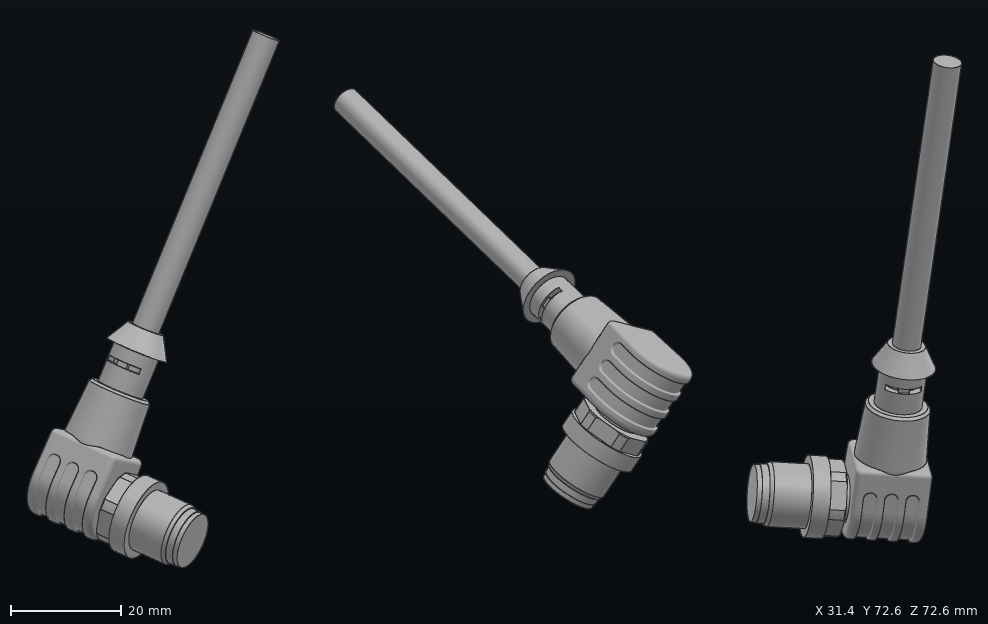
import cadquery as cq
import math

cable_tilt = -45.0

housing_length = 14.15
housing_radius = 7.25
housing_top = 9.15
side_taper = math.radians(4.0)
housing_fillet = 1.1

groove_count = 3
groove_pitch = 3.9
groove_width = 2.5
groove_depth = 0.4
groove_top = 4.7
groove_edge_fillet = 0.18

sleeve_base_radius = 6.6
sleeve_root = 5.8
sleeve_end_radius = 5.95
sleeve_top = 19.75
sleeve_chamfer = 0.5
neck_radius = 4.39
flange_bottom = 27.6
flange_top = 31.8
flange_wide_radius = 5.9
flange_narrow_radius = 3.5
slot_bottom = 23.9
slot_height = 1.0
slot_width = 6.7
slot_floor_radius = 3.05
slot_rib_width = 2.0
slot_rib_span = 7.7
cable_radius = 2.6
cable_end = 89.45

hex_start = 15.1
collar_start = 18.2
collar_end = 21.5
barrel_end = 28.4
barrel_taper_end = 29.1
nose_end = 30.5
tip_end = 31.4
shaft_radius = 4.35
hex_flat_distance = 6.5
hex_corner_radius = 7.05
hex_chamfer = 0.2
hex_turn = -15.0
collar_radius = 15.0 / 2
barrel_radius = 11.8 / 2
barrel_taper_radius = 5.6
nose_radius = 10.8 / 2
tip_radius = 10.5 / 2

outer_end_x = -housing_length / 2


def housing_block(inset):
    """Tapered block with a round bottom; its round and tapered faces are moved inwards by the inset."""
    radius = housing_radius - inset
    tangent_y = radius * math.cos(side_taper)
    tangent_z = radius * math.sin(side_taper)
    top_y = tangent_y - (housing_top - tangent_z) * math.tan(side_taper)
    return (
        cq.Workplane("YZ", origin=(outer_end_x, 0, 0))
        .moveTo(-tangent_y, tangent_z)
        .threePointArc((0, -radius), (tangent_y, tangent_z))
        .lineTo(top_y, housing_top)
        .lineTo(-top_y, housing_top)
        .close()
        .extrude(housing_length)
    )


def grip_groove(center_x):
    """Band that removes the housing skin below a half-round end on either side."""
    reach = 2 * housing_radius
    end_center = groove_top - groove_width / 2
    band = (
        cq.Workplane("XZ", origin=(center_x, reach, 0))
        .moveTo(-groove_width / 2, -reach)
        .lineTo(-groove_width / 2, end_center)
        .threePointArc((0, groove_top), (groove_width / 2, end_center))
        .lineTo(groove_width / 2, -reach)
        .close()
        .extrude(2 * reach)
    )
    return band.cut(housing_block(groove_depth))


def housing():
    block = housing_block(0)
    block = block.edges("|X and >Z").fillet(housing_fillet)
    block = block.faces("<X or >X").edges().fillet(housing_fillet)
    for index in range(groove_count):
        center_x = (index - (groove_count - 1) / 2) * groove_pitch
        block = block.cut(grip_groove(center_x))
        around_groove = cq.selectors.BoxSelector(
            (center_x - groove_pitch / 2, -2 * housing_radius, -2 * housing_radius),
            (center_x + groove_pitch / 2, 2 * housing_radius, groove_top + groove_edge_fillet),
        )
        groove_edges = block.edges(around_groove).edges("not |X")
        block = groove_edges.fillet(groove_edge_fillet)
    return block


def cable_leg():
    """Sleeve, neck, flange and cable turned as one profile of radius and height."""
    profile = [
        (0, sleeve_root),
        (sleeve_base_radius, sleeve_root),
        (sleeve_base_radius, housing_top),
        (sleeve_end_radius, sleeve_top - sleeve_chamfer),
        (sleeve_end_radius - sleeve_chamfer, sleeve_top),
        (neck_radius, sleeve_top),
        (neck_radius, flange_bottom),
        (flange_wide_radius, flange_bottom),
        (flange_narrow_radius, flange_top),
        (cable_radius, flange_top),
        (cable_radius, cable_end),
        (0, cable_end),
    ]
    return cq.Workplane("XZ").polyline(profile).close().revolve(360, (0, 0, 0), (0, 1, 0))


def neck_slots():
    """Slots on two opposite sides of the neck, leaving a round core and a rib across the middle."""
    plane = cq.Workplane("XY", origin=(0, 0, slot_bottom))
    opening = plane.rect(slot_width, 3 * neck_radius).extrude(slot_height)
    core = plane.circle(slot_floor_radius).extrude(slot_height)
    rib = plane.rect(slot_rib_width, slot_rib_span).extrude(slot_height)
    return opening.cut(core).cut(rib)


def plug():
    """Shaft, collar, barrel and tip turned about X."""
    profile = [
        (0, 0),
        (0, shaft_radius),
        (collar_start, shaft_radius),
        (collar_start, collar_radius),
        (collar_end, collar_radius),
        (collar_end, barrel_radius),
        (barrel_end, barrel_radius),
        (barrel_taper_end, barrel_taper_radius),
        (barrel_taper_end, nose_radius),
        (nose_end, nose_radius),
        (nose_end, tip_radius),
        (tip_end, tip_radius),
        (tip_end, 0),
    ]
    sketch = cq.Workplane("XY", origin=(outer_end_x, 0, 0))
    return sketch.polyline(profile).close().revolve(360, (0, 0, 0), (1, 0, 0))


def hex_nut():
    """Hexagon with its corners turned down to a cylinder."""
    plane = cq.Workplane("YZ", origin=(outer_end_x + hex_start, 0, 0))
    length = collar_start - hex_start
    hexagon = plane.polygon(6, 2 * hex_flat_distance, circumscribed=True).extrude(length)
    envelope = plane.circle(hex_corner_radius).extrude(length).faces("<X").chamfer(hex_chamfer)
    return hexagon.intersect(envelope).rotate((0, 0, 0), (1, 0, 0), hex_turn)


tilted = housing().union(cable_leg()).cut(neck_slots()).rotate((0, 0, 0), (1, 0, 0), cable_tilt)
result = tilted.union(plug()).union(hex_nut())